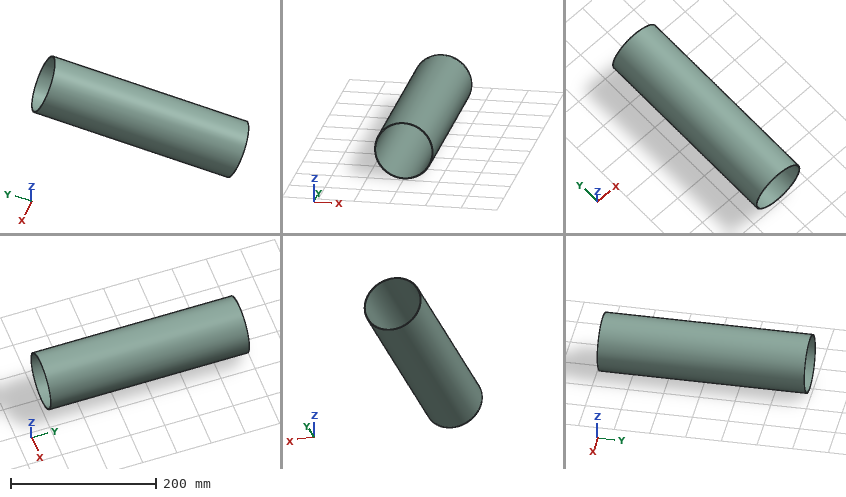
import cadquery as cq

length = 290.0
outer_diameter = 81.8
wall = 1.5

outer_radius = outer_diameter / 2
inner_radius = outer_radius - wall

result = (
    cq.Workplane("XZ", origin=(0, length / 2, 0))
    .circle(outer_radius)
    .circle(inner_radius)
    .extrude(length)
)